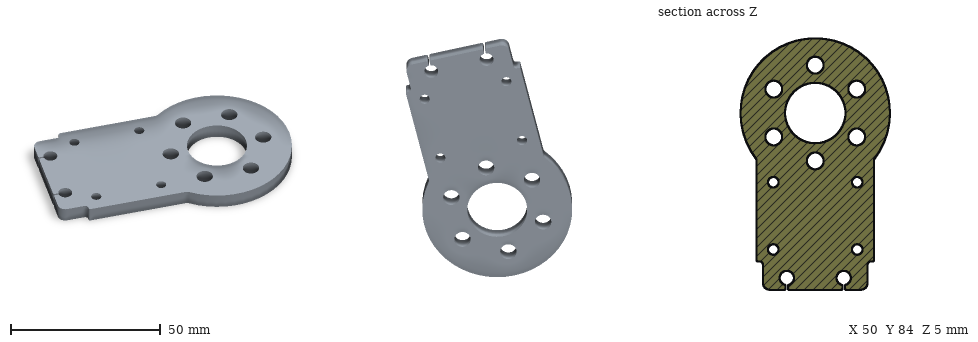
import cadquery as cq
import math

total_length = 84.0
thickness = 5.0
head_diameter = 50.0
body_width = 39.2
foot_width = 35.1
foot_height = 9.5
head_radius = head_diameter / 2
head_y = total_length - head_radius

neck_radius = 2.0
shoulder_radius = 0.5
foot_root_radius = 1.0
foot_corner_radius = 2.5
slot_mouth_radius = 0.5

bore_diameter = 20.0
bolt_circle_radius = 16.0
bolt_hole_diameter = 5.5
bolt_hole_count = 6

mount_hole_diameter = 3.4
mount_spacing_x = 28.0
mount_spacing_y = 22.4
lower_mount_y = 13.5

keyhole_spacing = 19.0
keyhole_diameter = 4.6
keyhole_y = 4.0
slot_width = 0.6


def plate_block(width, bottom, top):
    """Full-thickness block centred on X."""
    return cq.Workplane("XY").box(
        width, top - bottom, thickness, centered=(True, False, False)
    ).translate((0, bottom, 0))


def round_edges(body, points, radius):
    """Round the vertical edges nearest to the given XY points."""
    selector = None
    for x, y in points:
        nearest = cq.selectors.NearestToPointSelector((x, y, thickness / 2))
        selector = nearest if selector is None else selector + nearest
    return body.edges("|Z").edges(selector).fillet(radius)


def mirrored(x, y):
    """A point and its mirror image across the YZ plane."""
    return [(-x, y), (x, y)]


def drill(body, points, diameter):
    """Cut round holes through the plate."""
    cutters = cq.Workplane("XY").pushPoints(points).circle(diameter / 2).extrude(thickness)
    return body.cut(cutters)


head = cq.Workplane("XY").center(0, head_y).circle(head_radius).extrude(thickness)
body = plate_block(body_width, foot_height, head_y)
foot = plate_block(foot_width, 0, head_y)
plate = head.union(body).union(foot)

neck_y = head_y - math.sqrt(head_radius**2 - (body_width / 2) ** 2)
plate = round_edges(plate, mirrored(body_width / 2, neck_y), neck_radius)
plate = round_edges(plate, mirrored(body_width / 2, foot_height), shoulder_radius)
plate = round_edges(plate, mirrored(foot_width / 2, foot_height), foot_root_radius)
plate = round_edges(plate, mirrored(foot_width / 2, 0), foot_corner_radius)

keyholes = mirrored(keyhole_spacing / 2, keyhole_y)
for x, y in keyholes:
    plate = plate.cut(plate_block(slot_width, 0, y).translate((x, 0, 0)))
    mouth = [(x - slot_width / 2, 0), (x + slot_width / 2, 0)]
    plate = round_edges(plate, mouth, slot_mouth_radius)
plate = drill(plate, keyholes, keyhole_diameter)

plate = drill(plate, [(0, head_y)], bore_diameter)
bolt_points = []
for index in range(bolt_hole_count):
    angle = math.pi / 2 + index * 2 * math.pi / bolt_hole_count
    bolt_x = bolt_circle_radius * math.cos(angle)
    bolt_y = head_y + bolt_circle_radius * math.sin(angle)
    bolt_points.append((bolt_x, bolt_y))
plate = drill(plate, bolt_points, bolt_hole_diameter)

upper_mount_y = lower_mount_y + mount_spacing_y
mount_points = mirrored(mount_spacing_x / 2, lower_mount_y)
mount_points += mirrored(mount_spacing_x / 2, upper_mount_y)
plate = drill(plate, mount_points, mount_hole_diameter)

result = plate